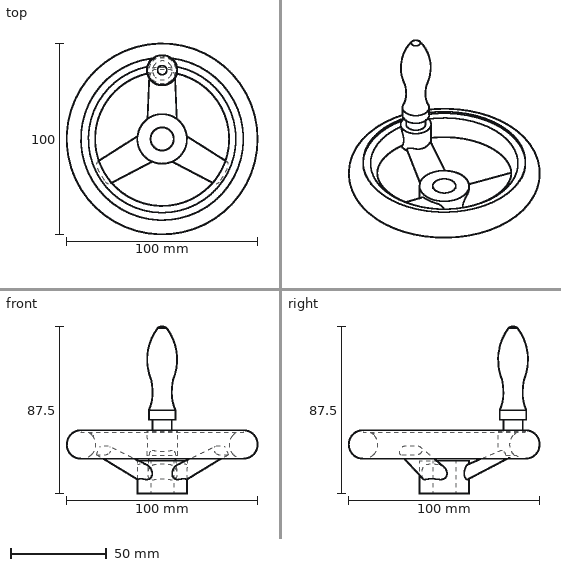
import cadquery as cq
import math

hub_radius = 13.0
hub_height = 17.2
bore_radius = 6.0

outer_radius = 50.0
rim_section_radius = 7.5
rim_center_radius = outer_radius - rim_section_radius
rim_center_z = 25.7
rim_top = rim_center_z + rim_section_radius
step_depth = 1.1
step_z = rim_top - step_depth

spoke_count = 3
spoke_start = 9.0
spoke_end = 40.0
spoke_start_z = 9.8
spoke_slope = 25.5
spoke_flat_width = 8.2
spoke_start_edge_radius = 3.7
spoke_end_edge_radius = 2.4

handle_y = 36.0
boss_radius = 8.0
boss_bottom = 20.0
boss_top = 32.5

handle_top = 87.5
stem_radius = 5.1
collar_radius = 7.0
collar_bottom = 38.6
collar_top = 43.7
waist_z = 52.4
grip_start_radius = 5.8
grip_start_z = 59.6
grip_radius = 7.9
grip_widest_z = 70.5
tip_radius = 2.4
tip_z = 86.6


def make_hub():
    return cq.Workplane("XY").circle(hub_radius).extrude(hub_height)


def make_rim():
    ring = cq.Workplane("XY").add(
        cq.Solid.makeTorus(rim_center_radius, rim_section_radius, cq.Vector(0, 0, rim_center_z))
    )
    step = cq.Workplane("XY").workplane(offset=step_z).circle(rim_center_radius).extrude(2 * step_depth)
    return ring.cut(step)


def make_spoke():
    """Spoke rising along +Y."""
    angle = math.radians(spoke_slope)
    length = (spoke_end - spoke_start) / math.cos(angle)
    section_plane = cq.Plane(
        origin=(0, spoke_start, spoke_start_z),
        xDir=(1, 0, 0),
        normal=(0, math.cos(angle), math.sin(angle)),
    )
    return (
        cq.Workplane(section_plane)
        .slot2D(spoke_flat_width + 2 * spoke_start_edge_radius, 2 * spoke_start_edge_radius)
        .workplane(offset=length)
        .slot2D(spoke_flat_width + 2 * spoke_end_edge_radius, 2 * spoke_end_edge_radius)
        .loft(ruled=True)
    )


def make_boss():
    return (
        cq.Workplane("XY", origin=(0, handle_y, boss_bottom))
        .circle(boss_radius)
        .extrude(boss_top - boss_bottom)
    )


def make_handle():
    """Turned handle, with its stem starting at the bottom of the boss."""
    waist = (stem_radius, waist_z)
    tip_sphere_radius = (tip_radius**2 + (handle_top - tip_z) ** 2) / (2 * (handle_top - tip_z))
    tip_mid_radius = tip_radius / 2
    tip_mid_z = handle_top - tip_sphere_radius + math.sqrt(tip_sphere_radius**2 - tip_mid_radius**2)
    profile = (
        cq.Workplane("XZ")
        .moveTo(0, boss_bottom)
        .lineTo(stem_radius, boss_bottom)
        .lineTo(stem_radius, collar_bottom)
        .lineTo(collar_radius, collar_bottom)
        .lineTo(collar_radius, collar_top)
    )
    neck_rise = waist_z - collar_top
    neck_swell = collar_radius - stem_radius
    neck_arc_radius = (neck_rise**2 + neck_swell**2) / (2 * neck_swell)
    neck_mid_z = waist_z - neck_rise / 2
    neck_mid_radius = stem_radius + neck_arc_radius - math.sqrt(neck_arc_radius**2 - (neck_rise / 2) ** 2)
    return (
        profile.threePointArc((neck_mid_radius, neck_mid_z), waist)
        .tangentArcPoint((grip_start_radius, grip_start_z), relative=False)
        .threePointArc((grip_radius, grip_widest_z), (tip_radius, tip_z))
        .threePointArc((tip_mid_radius, tip_mid_z), (0, handle_top))
        .close()
        .revolve(360, (0, 0, 0), (0, 1, 0))
        .translate((0, handle_y, 0))
    )


wheel = make_hub().union(make_rim())
for index in range(spoke_count):
    wheel = wheel.union(make_spoke().rotate((0, 0, 0), (0, 0, 1), index * 360 / spoke_count))
wheel = wheel.union(make_boss()).union(make_handle())

bore = cq.Workplane("XY").circle(bore_radius).extrude(hub_height)
result = wheel.cut(bore)